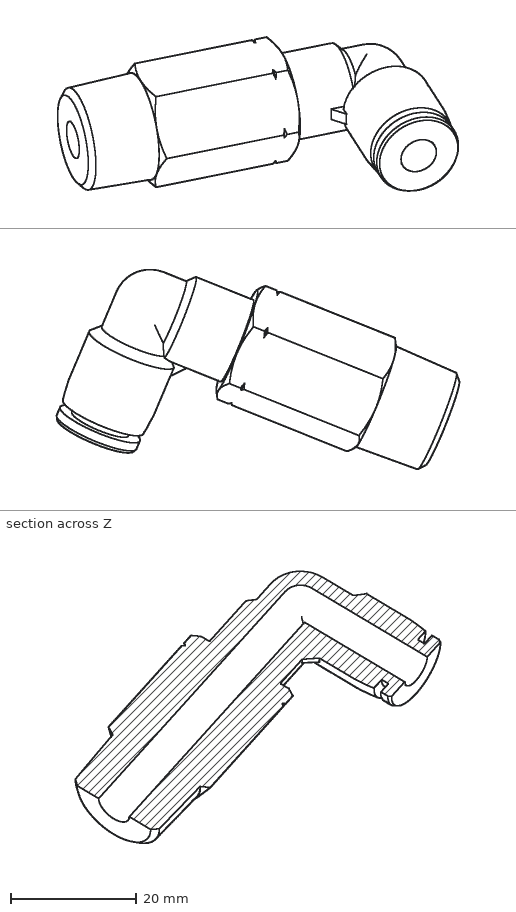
import cadquery as cq
import math

total_length = 57.9
total_width = 33.0
arm_diameter = 14.75
arm_radius = arm_diameter / 2
elbow_y = total_length - arm_radius

hex_flats = 17.5
hex_corner_radius = hex_flats / 2 / math.cos(math.radians(30))
hex_start = 11.5
hex_end = 35.5
hex_chamfer_slope = math.tan(math.radians(30))
hex_corner_drop = (hex_corner_radius - hex_flats / 2) * hex_chamfer_slope

nick_y = 32.5
nick_depth = 0.45
nick_half_width = 0.3

thread_end_radius = 8.35
thread_root_radius = 8.7
thread_tip_radius = 7.3
thread_chamfer = 0.9

body_radius = 7.05
neck_radius = 5.85
body_top = 46.6
body_chamfer = body_radius - neck_radius

arm_cone_start = 6.15
arm_cone_end = arm_cone_start + arm_radius - neck_radius
arm_taper_start = 16.45
arm_taper_end = 18.6
arm_taper_radius = 7.2
sleeve_end = 19.7
sleeve_end_radius = 7.0
release_radius = 4.9
flange_start = 20.95
flange_radius = 6.95
flange_end = total_width - hex_corner_radius
flange_chamfer_length = 0.5
flange_chamfer_depth = 0.3

web_thickness = 1.95
web_arm_x = 9.15
web_body_y = 41.35
bore_radius = 3.0


def revolve_about_y(points):
    """Solid of revolution about the stem axis from (radius, y) points."""
    return cq.Workplane("XY").polyline(points).close().revolve(360, (0, 0), (0, 1))


def revolve_about_arm(points):
    """Solid of revolution about the arm axis from (x, radius) points."""
    profile = cq.Workplane("XY").polyline(points).close()
    return profile.revolve(360, (0, 0), (1, 0)).translate((0, elbow_y, 0))


def mitred_leg(radius, length):
    """Round-ended rod down -Y from the elbow centre, cut on the 45 degree mitre plane."""
    rod = (
        cq.Workplane("XY")
        .moveTo(0, -length)
        .lineTo(radius, -length)
        .lineTo(radius, 0)
        .radiusArc((0, radius), -radius)
        .close()
        .revolve(360, (0, 0), (0, 1))
    )
    reach = 2 * (length + radius)
    stem_side = (
        cq.Workplane("XY")
        .polyline([(-reach, reach), (reach, -reach), (-reach, -reach)])
        .close()
        .extrude(reach, both=True)
    )
    return rod.intersect(stem_side)


def bent_rod(radius, stem_length, arm_length):
    """Rod that turns from the stem axis to the arm axis with a ball-shaped outer corner."""
    stem_leg = mitred_leg(radius, stem_length)
    arm_leg = mitred_leg(radius, arm_length).rotate((0, 0, 0), (1, -1, 0), 180)
    return stem_leg.union(arm_leg).translate((0, elbow_y, 0))


def make_hex():
    prism = (
        cq.Workplane("XZ", origin=(0, hex_end, 0))
        .polygon(6, 2 * hex_corner_radius)
        .extrude(hex_end - hex_start)
    )
    envelope = revolve_about_y([
        (0, hex_start),
        (hex_flats / 2, hex_start),
        (hex_corner_radius, hex_start + hex_corner_drop),
        (hex_corner_radius, nick_y - nick_half_width),
        (hex_corner_radius - nick_depth, nick_y),
        (hex_corner_radius, nick_y + nick_half_width),
        (hex_corner_radius, hex_end - hex_corner_drop),
        (hex_flats / 2, hex_end),
        (0, hex_end),
    ])
    return prism.intersect(envelope)


def make_thread():
    return revolve_about_y([
        (0, 0),
        (thread_tip_radius, 0),
        (thread_end_radius, thread_chamfer),
        (thread_root_radius, hex_start),
        (0, hex_start),
    ])


def make_body():
    return revolve_about_y([
        (0, hex_end),
        (body_radius, hex_end),
        (body_radius, body_top - body_chamfer),
        (neck_radius, body_top),
        (0, body_top),
    ])


def make_arm():
    return revolve_about_arm([
        (arm_cone_start, 0),
        (arm_cone_start, neck_radius),
        (arm_cone_end, arm_radius),
        (arm_taper_start, arm_radius),
        (arm_taper_end, arm_taper_radius),
        (sleeve_end, sleeve_end_radius),
        (sleeve_end, release_radius),
        (flange_start, release_radius),
        (flange_start, flange_radius),
        (flange_end - flange_chamfer_length, flange_radius),
        (flange_end, flange_radius - flange_chamfer_depth),
        (flange_end, 0),
    ])


def make_web():
    return (
        cq.Workplane("XY")
        .moveTo(0, elbow_y)
        .lineTo(0, web_body_y)
        .lineTo(body_radius, web_body_y)
        .lineTo(web_arm_x, elbow_y - arm_radius)
        .lineTo(web_arm_x, elbow_y)
        .close()
        .extrude(web_thickness / 2, both=True)
    )


def make_elbow():
    return bent_rod(neck_radius, elbow_y - body_top, arm_cone_start)


def make_bore():
    return bent_rod(bore_radius, elbow_y, flange_end)


result = make_elbow()
for piece in (make_body(), make_arm(), make_hex(), make_thread(), make_web()):
    result = result.union(piece)
result = result.cut(make_bore())